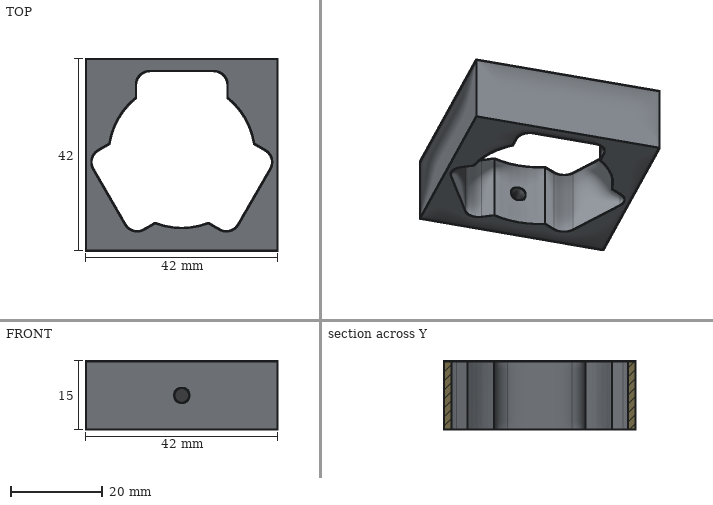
import cadquery as cq

side = 42.0
thickness = 15.0

bore_radius = 16.0
lobe_count = 3
lobe_width = 20.0
lobe_reach = 18.3
lobe_corner_radius = 3.0

hole_diameter = 3.3


def make_lobe(angle):
    """Lobe running from the bore axis towards +Y, turned about Z by angle."""
    lobe = (
        cq.Workplane("XY")
        .center(0, lobe_reach / 2)
        .rect(lobe_width, lobe_reach)
        .extrude(thickness)
        .edges("|Z and >Y")
        .fillet(lobe_corner_radius)
    )
    return lobe.rotate((0, 0, 0), (0, 0, 1), angle)


def make_window():
    window = cq.Workplane("XY").circle(bore_radius).extrude(thickness)
    for index in range(lobe_count):
        window = window.union(make_lobe(index * 360 / lobe_count))
    return window


def make_front_hole():
    """Hole from the -Y face inwards to the open centre of the window."""
    return (
        cq.Workplane("XZ", origin=(0, 0, thickness / 2))
        .circle(hole_diameter / 2)
        .extrude(side / 2)
    )


block = cq.Workplane("XY").rect(side, side).extrude(thickness)
result = block.cut(make_window()).cut(make_front_hole())